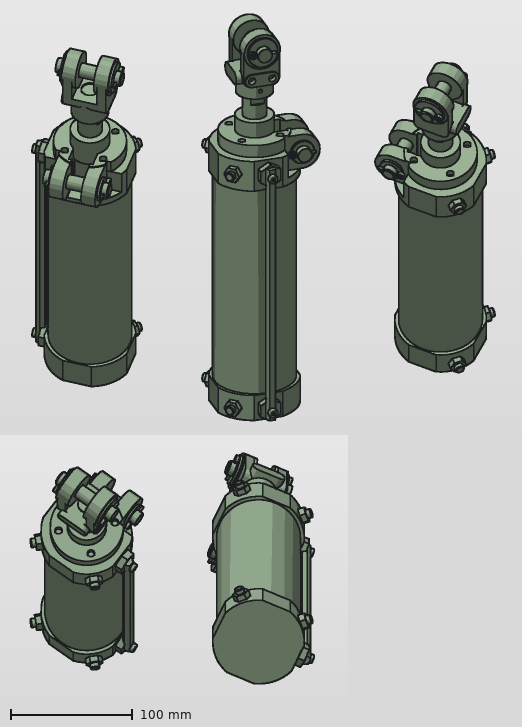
import cadquery as cq
import math


tube_radius = 34.5
cap_radius = 37.5
cap_flat = 35.5
base_cap_height = 23.0
head_cap_bottom = 210.5
head_cap_top = 237.7
collar_radius = 16.2
collar_top = 262.5
overall_height = 344.5
port_height = 10.7
head_port_height = 225.3
port_heights = (port_height, head_port_height)

hex_sides = 6
valve_angles = (45, 135)
valve_hex = 13.8
valve_hex_end = 42.5
valve_stem_diameter = 7.5
valve_stem_end = 46.5
valve_hex_turn = 180 / hex_sides
valve_chamfer = 0.7

boss_angle = 180
boss_hex = 20.0
rail_back = 38.2
rail_middle = 41.7
rail_front = 45.8
rail_half_width = 4.5
rail_half_flat = 2.5
rail_overhang = 7.5
rail_relief = 11.0
screw_diameter = 7.5
screw_end = 49.0
screw_fillet = 0.7
screw_socket_diameter = 3.0
screw_socket_depth = 1.7

eye_radius = 15.5
eye_inner = 8.0
eye_outer = 20.0
pin_diameter = 12.0
washer_thickness = 2.0

disc_radius = 30.0
disc_top = 248.7
bracket_pin_y = -34.5
bracket_pin_z = 232.2
bracket_washer_diameter = 20.0
seat_y = -18.3
seat_z = bracket_pin_z - eye_radius
slot_half_width = 10.5
slot_end = 25.0
bolt_hole_diameter = 6.0
bolt_hole_depth = 5.0
bolt_offset = 16.5
cap_slot_floor = 214.5
cap_slot_half_width = 8.5

rod_diameter = 20.0
rod_flats = 16.2
rod_flat_bottom = 275.5
rod_shoulder = 284.0
rod_tip_diameter = 14.5
rod_tip_end = 307.5

clevis_pin_z = overall_height - eye_radius
clevis_washer_diameter = 26.0
neck_radius = eye_radius
fork_outer = 18.5
fork_inner = 10.7
fork_floor = 309.0
fork_bottom = 297.5
fork_fillet = 6.2
pad_length = 29.0
pad_height = fork_floor - fork_bottom
pad_z = (fork_floor + fork_bottom) / 2
pad_reach = 20.5
pad_hole_diameter = 6.0
pad_hole_depth = 5.0
set_screw_diameter = 3.0
set_screw_depth = 3.5
set_screw_z = 290.8

pin_half_length = 28.0
pin_chamfer = 1.0
cotter_x = 23.8
cotter_diameter = 2.3
cotter_tail = 10.7
cotter_eye_y = 9.5
cotter_eye_diameter = 6.0
cotter_eye_thickness = 3.0
cotter_eye_hole = 2.3


def rod_z(diameter, bottom, top):
    """Round bar on the Z axis."""
    return cq.Workplane("XY").workplane(offset=bottom).circle(diameter / 2).extrude(top - bottom)


def rod_x(diameter, start, end, y, z):
    """Round bar parallel to X."""
    return cq.Workplane("YZ", origin=(start, y, z)).circle(diameter / 2).extrude(end - start)


def block(x_range, y_range, z_range):
    """Box between the given limits."""
    sizes = [high - low for low, high in (x_range, y_range, z_range)]
    corner = (x_range[0], y_range[0], z_range[0])
    return cq.Workplane("XY").box(*sizes, centered=False).translate(corner)


def radial_plane(angle, height):
    """Workplane whose normal points outward from the Z axis at the given angle."""
    direction = cq.Vector(math.cos(math.radians(angle)), math.sin(math.radians(angle)), 0)
    return cq.Workplane(cq.Plane(origin=(0, 0, height), xDir=(0, 0, 1), normal=direction))


def end_cap(bottom, top):
    """Round cap with a flat on each of its four sides."""
    square = block((-cap_flat, cap_flat), (-cap_flat, cap_flat), (bottom, top))
    return rod_z(2 * cap_radius, bottom, top).intersect(square)


def cushion_valve(angle, height):
    """Hexagonal fitting with a round stem, pointing radially outward."""
    start = tube_radius
    plane = radial_plane(angle, height).workplane(offset=start).transformed(rotate=(0, 0, valve_hex_turn))
    hexagon = plane.polygon(hex_sides, valve_hex).extrude(valve_hex_end - start)
    stem = plane.circle(valve_stem_diameter / 2).extrude(valve_stem_end - start)
    stem = stem.faces(cq.selectors.DirectionMinMaxSelector(plane.plane.zDir)).chamfer(valve_chamfer)
    return hexagon.union(stem)


def rail_boss(height):
    """Hexagonal stand-off between a cap and the rail."""
    plane = radial_plane(boss_angle, height).workplane(offset=tube_radius)
    return plane.polygon(hex_sides, boss_hex).extrude(rail_middle - tube_radius)


def make_cylinder():
    body = rod_z(2 * tube_radius, 0, head_cap_top)
    body = body.union(end_cap(0, base_cap_height))
    body = body.union(end_cap(head_cap_bottom, head_cap_top))

    body = body.cut(block((-cap_radius, cap_radius), (-cap_radius, seat_y), (seat_z, head_cap_top)))
    slot_range = (-cap_slot_half_width, cap_slot_half_width)
    body = body.cut(block(slot_range, (-cap_radius, 0), (cap_slot_floor, head_cap_top)))
    body = body.union(rod_z(2 * collar_radius, head_cap_bottom, head_cap_top))

    for height in port_heights:
        body = body.union(rail_boss(height))
        for angle in valve_angles:
            body = body.union(cushion_valve(angle, height))
    return body.cut(rod_z(rod_diameter, head_cap_bottom, head_cap_top))


def rail_half(flat_face, bottom, top):
    """Half of the rail, narrowing from its middle to a flat at the given distance from the axis."""
    profile = [
        (-rail_middle, -rail_half_width),
        (-flat_face, -rail_half_flat),
        (-flat_face, rail_half_flat),
        (-rail_middle, rail_half_width),
    ]
    return cq.Workplane("XY").workplane(offset=bottom).polyline(profile).close().extrude(top - bottom)


def make_rail():
    front = rail_half(rail_front, port_height - rail_overhang, head_port_height + rail_overhang)
    back = rail_half(rail_back, port_height + rail_relief, head_port_height - rail_relief)
    rail = front.union(back)

    for height in port_heights:
        screw = rod_x(screw_diameter, -screw_end, -rail_front, 0, height)
        screw = screw.faces("<X").edges().fillet(screw_fillet)
        socket = rod_x(screw_socket_diameter, -screw_end, -screw_end + screw_socket_depth, 0, height)
        rail = rail.union(screw).cut(socket)
    return rail


def add_eyes(body, y, z, washer_diameter):
    """Adds a pair of round eyes with a raised ring outside each, then bores them for the pin."""
    for side in (-1, 1):
        body = body.union(rod_x(2 * eye_radius, side * eye_inner, side * eye_outer, y, z))
        ring_end = eye_outer + washer_thickness
        body = body.union(rod_x(washer_diameter, side * eye_outer, side * ring_end, y, z))
    return body.cut(rod_x(pin_diameter, -pin_half_length, pin_half_length, y, z))


def make_bracket():
    bracket = rod_z(2 * disc_radius, head_cap_top, disc_top)

    front = block((-disc_radius, disc_radius), (-disc_radius, seat_y), (head_cap_top, disc_top))
    between_lugs = block((-eye_outer, eye_outer), (-disc_radius, seat_y), (head_cap_top, disc_top))
    bracket = bracket.cut(front.cut(between_lugs))

    lug_top = bracket_pin_z + eye_radius
    for side in (-1, 1):
        x_range = sorted((side * eye_inner, side * eye_outer))
        bracket = bracket.union(block(x_range, (bracket_pin_y, seat_y), (seat_z, lug_top)))

    height_range = (seat_z, disc_top)
    bracket = bracket.cut(block((-eye_inner, eye_inner), (-disc_radius, 0), height_range))
    bracket = add_eyes(bracket, bracket_pin_y, bracket_pin_z, bracket_washer_diameter)
    bracket = bracket.cut(block((-slot_half_width, slot_half_width), (-slot_end, 0), height_range))
    bracket = bracket.union(rod_z(2 * collar_radius, head_cap_top, collar_top))
    bracket = bracket.cut(rod_z(rod_diameter, head_cap_top, collar_top))

    corners = [(x, y) for x in (-bolt_offset, bolt_offset) for y in (-bolt_offset, bolt_offset)]
    holes = cq.Workplane("XY").workplane(offset=disc_top).pushPoints(corners)
    return bracket.cut(holes.circle(bolt_hole_diameter / 2).extrude(-bolt_hole_depth))


def make_rod():
    rod = rod_z(rod_diameter, head_cap_bottom, rod_shoulder)
    flat = rod_flats / 2
    for side in (-1, 1):
        x_range = sorted((side * flat, side * rod_diameter))
        cutter = block(x_range, (-rod_diameter, rod_diameter), (rod_flat_bottom, rod_shoulder))
        rod = rod.cut(cutter)
    return rod.union(rod_z(rod_tip_diameter, rod_shoulder, rod_tip_end))


def make_clevis():
    fork = block((-fork_outer, fork_outer), (-eye_radius, eye_radius), (fork_bottom, clevis_pin_z))
    fork = fork.edges("|X and <Z").fillet(fork_fillet)
    fork = fork.cut(block((-fork_inner, fork_inner), (-eye_radius, eye_radius), (fork_floor, clevis_pin_z)))
    clevis = fork.union(rod_z(2 * neck_radius, rod_shoulder, fork_floor))
    clevis = add_eyes(clevis, 0, clevis_pin_z, clevis_washer_diameter)

    side_pad = cq.Workplane("YZ", origin=(-eye_outer, 0, pad_z)).slot2D(pad_length, pad_height)
    clevis = clevis.union(side_pad.extrude(eye_outer - fork_outer))
    back_pad = cq.Workplane("XZ", origin=(0, pad_reach, pad_z)).slot2D(pad_length, pad_height)
    clevis = clevis.union(back_pad.extrude(pad_reach - eye_radius + fork_fillet))

    hole_y = (pad_length - pad_height) / 2
    for y in (-hole_y, hole_y):
        clevis = clevis.cut(rod_x(pad_hole_diameter, -eye_outer, -eye_outer + pad_hole_depth, y, pad_z))
    set_screw_end = -neck_radius + set_screw_depth
    clevis = clevis.cut(rod_x(set_screw_diameter, -neck_radius, set_screw_end, 0, set_screw_z))
    return clevis.cut(rod_z(rod_tip_diameter, rod_shoulder, fork_floor))


def make_pin(y, z):
    """Pivot pin held by a cotter near each end."""
    pin = rod_x(pin_diameter, -pin_half_length, pin_half_length, 0, 0).faces(">X").chamfer(pin_chamfer)
    for x in (-cotter_x, cotter_x):
        shank = cq.Workplane("XZ", origin=(x, cotter_eye_y, 0)).circle(cotter_diameter / 2)
        shank = shank.extrude(cotter_eye_y + cotter_tail)
        eye_start = x - cotter_eye_thickness / 2
        eye_end = x + cotter_eye_thickness / 2
        eye = rod_x(cotter_eye_diameter, eye_start, eye_end, cotter_eye_y, 0)
        eye_hole = rod_x(cotter_eye_hole, eye_start, eye_end, cotter_eye_y, 0)
        pin = pin.union(shank).union(eye).cut(eye_hole)
    return pin.translate((0, y, z))


cylinder = make_cylinder()
rail = make_rail()
bracket = make_bracket()
rod = make_rod()
clevis = make_clevis()
pivot_places = [(bracket_pin_y, bracket_pin_z), (0, clevis_pin_z)]
pins = [make_pin(y, z).val() for y, z in pivot_places]

result = cq.Compound.makeCompound(
    [cylinder.val(), rail.val(), bracket.val(), rod.val(), clevis.val(), *pins]
)